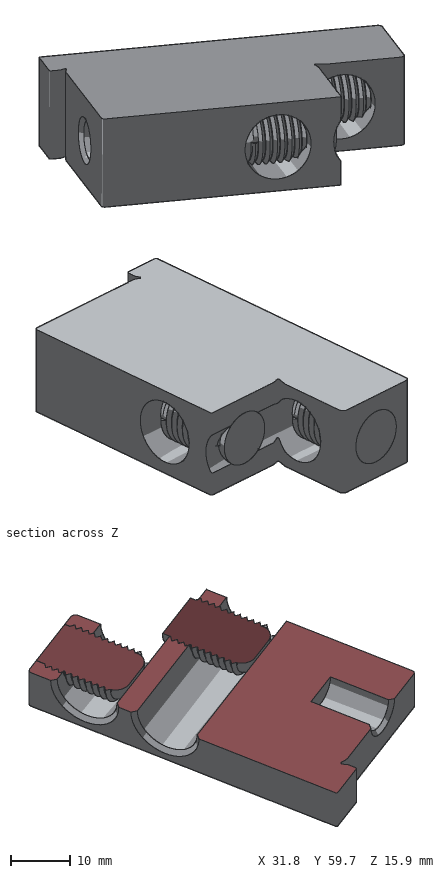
import cadquery as cq
import math

WIDTH = 31.8
LENGTH = 59.7
HEIGHT = 15.9
MID_Z = HEIGHT / 2
ARM_WIDTH = WIDTH / 2
SHOULDER_Y = 44.25
LEDGE_WIDTH = 7.0
LEDGE_DEPTH = 2.5

ARM_CORNER = 0.7
ARM_INNER_CORNER = 0.95
SHOULDER_CORNER = 0.35
BASE_CORNER = 0.6
LEDGE_CORNER = 0.3

SHOULDER_RELIEF_LEGS = (0.95, 1.8)
SHOULDER_RELIEF_ANGLE = 15.0
SHOULDER_RELIEF_BLENDS = (1.5, 1.5)
LEDGE_RELIEF_LEGS = (0.8, 0.57)
LEDGE_RELIEF_ANGLE = 28.0
LEDGE_RELIEF_BLENDS = (2.75, 0.6)
RELIEF_ROOT_RADIUS = 0.25

CROSS_HOLE_DIAMETER = 11.5
CROSS_HOLE_MOUTH = 13.15
CROSS_HOLE_INSET = 11.05

END_HOLE_DIAMETER = 6.6
END_HOLE_MOUTH = 8.1
END_HOLE_X = 20.35
END_HOLE_DEPTH = 11.95

THREAD_DIAMETER = 11.1
ROOT_DIAMETER = 9.75
TIP_DIAMETER = 4.65
TIP_LENGTH = 2.0
TIP_REACH = 5.45
SCREW_LENGTH = CROSS_HOLE_INSET + TIP_REACH
THREAD_START = 2.15
THREAD_LENGTH = 12.7
THREAD_TURNS = 10
PITCH = THREAD_LENGTH / THREAD_TURNS
ROOT_LAND = 0.07
FOOT_DEPTH = 0.03

SCREW_PLACES = [(ARM_WIDTH / 2, LENGTH), ((ARM_WIDTH + WIDTH) / 2, SHOULDER_Y)]


def rounded_outline(corners):
    """Closed XY outline through (x, y, radius) corners, each rounded by a tangent arc."""
    arcs = []
    for i, (x, y, radius) in enumerate(corners):
        corner = cq.Vector(x, y)
        before = (cq.Vector(*corners[i - 1][:2]) - corner).normalized()
        after = (cq.Vector(*corners[(i + 1) % len(corners)][:2]) - corner).normalized()
        half_angle = before.getAngle(after) / 2
        setback = radius / math.tan(half_angle)
        to_arc = radius / math.sin(half_angle) - radius
        middle = corner + (before + after).normalized() * to_arc
        arcs.append((corner + before * setback, middle, corner + after * setback))
    outline = cq.Workplane("XY").moveTo(*arcs[0][0].toTuple()[:2])
    for i, (start, middle, end) in enumerate(arcs):
        if i > 0:
            outline = outline.lineTo(start.x, start.y)
        outline = outline.threePointArc((middle.x, middle.y), (end.x, end.y))
    return outline.close()


def relief_corners(x, y, y_direction, legs, angle, blends):
    """Undercut of the inside corner (x, y): start on the X face, root, end on the Y face."""
    leg_x, leg_y = legs
    blend_x, blend_y = blends
    slope = math.tan(math.radians(angle))
    root_x = -slope * (leg_y + slope * leg_x) / (1 - slope**2)
    root_y = -slope * (leg_x + slope * leg_y) / (1 - slope**2)
    return [
        (x + leg_x, y, blend_x),
        (x + root_x, y + y_direction * root_y, RELIEF_ROOT_RADIUS),
        (x, y + y_direction * leg_y, blend_y),
    ]


def housing_block():
    shoulder_relief = relief_corners(
        ARM_WIDTH, SHOULDER_Y, 1, SHOULDER_RELIEF_LEGS, SHOULDER_RELIEF_ANGLE, SHOULDER_RELIEF_BLENDS
    )
    ledge_relief = relief_corners(
        LEDGE_WIDTH, LEDGE_DEPTH, -1, LEDGE_RELIEF_LEGS, LEDGE_RELIEF_ANGLE, LEDGE_RELIEF_BLENDS
    )
    corners = [
        (0, 0, LEDGE_CORNER),
        (LEDGE_WIDTH, 0, LEDGE_CORNER),
        *reversed(ledge_relief),
        (WIDTH, LEDGE_DEPTH, BASE_CORNER),
        (WIDTH, SHOULDER_Y, SHOULDER_CORNER),
        *shoulder_relief,
        (ARM_WIDTH, LENGTH, ARM_INNER_CORNER),
        (0, LENGTH, ARM_CORNER),
    ]
    return rounded_outline(corners).extrude(HEIGHT)


def chamfered_bore(diameter, mouth, depth):
    """Cutter along +Z from its 45 degree mouth at the origin."""
    radius = diameter / 2
    mouth_radius = mouth / 2
    return (
        cq.Workplane("XZ")
        .polyline([
            (0, 0), (mouth_radius, 0), (radius, mouth_radius - radius), (radius, depth), (0, depth),
        ])
        .close()
        .revolve(360, (0, 0), (0, 1))
    )


def cross_bore(face_y):
    bore = chamfered_bore(CROSS_HOLE_DIAMETER, CROSS_HOLE_MOUTH, WIDTH)
    return bore.rotate((0, 0, 0), (0, 1, 0), 90).translate((0, face_y - CROSS_HOLE_INSET, MID_Z))


def end_bore():
    bore = chamfered_bore(END_HOLE_DIAMETER, END_HOLE_MOUTH, END_HOLE_DEPTH)
    return bore.rotate((0, 0, 0), (1, 0, 0), -90).translate((END_HOLE_X, LEDGE_DEPTH, MID_Z))


def screw_core():
    """Root cylinder along +Z with a rounded tip below it that ends in a small flat."""
    root_radius = ROOT_DIAMETER / 2
    tip_radius = TIP_DIAMETER / 2
    return (
        cq.Workplane("XZ")
        .moveTo(0, 0)
        .lineTo(tip_radius, 0)
        .tangentArcPoint((root_radius, TIP_LENGTH), relative=False)
        .lineTo(root_radius, SCREW_LENGTH)
        .lineTo(0, SCREW_LENGTH)
        .close()
        .revolve(360, (0, 0), (0, 1))
    )


def thread_ridge():
    """Right-hand sharp-crested helical ridge, its foot sunk into the root cylinder."""
    crest_radius = THREAD_DIAMETER / 2
    foot_radius = ROOT_DIAMETER / 2 - FOOT_DEPTH
    foot_half = (PITCH - ROOT_LAND) / 2
    helix = cq.Wire.makeHelix(PITCH, THREAD_LENGTH, foot_radius)
    ridge = (
        cq.Workplane("XZ")
        .polyline([
            (foot_radius, -foot_half),
            (crest_radius, 0),
            (foot_radius, foot_half),
        ])
        .close()
        .sweep(cq.Workplane(helix), isFrenet=True)
    )
    return ridge.translate((0, 0, THREAD_START))


def make_screw(axis_x, face_y):
    screw = screw_core().union(thread_ridge())
    return screw.rotate((0, 0, 0), (1, 0, 0), -90).translate((axis_x, face_y - SCREW_LENGTH, MID_Z))


def make_housing(screws):
    """Block with its bores, tapped by the screws themselves so that they fit exactly."""
    housing = housing_block().cut(end_bore())
    for _, face_y in SCREW_PLACES:
        housing = housing.cut(cross_bore(face_y))
    for screw in screws:
        housing = housing.cut(screw)
    return housing


screws = [make_screw(axis_x, face_y) for axis_x, face_y in SCREW_PLACES]
housing = make_housing(screws)
result = cq.Compound.makeCompound([housing.val(), *[screw.val() for screw in screws]])